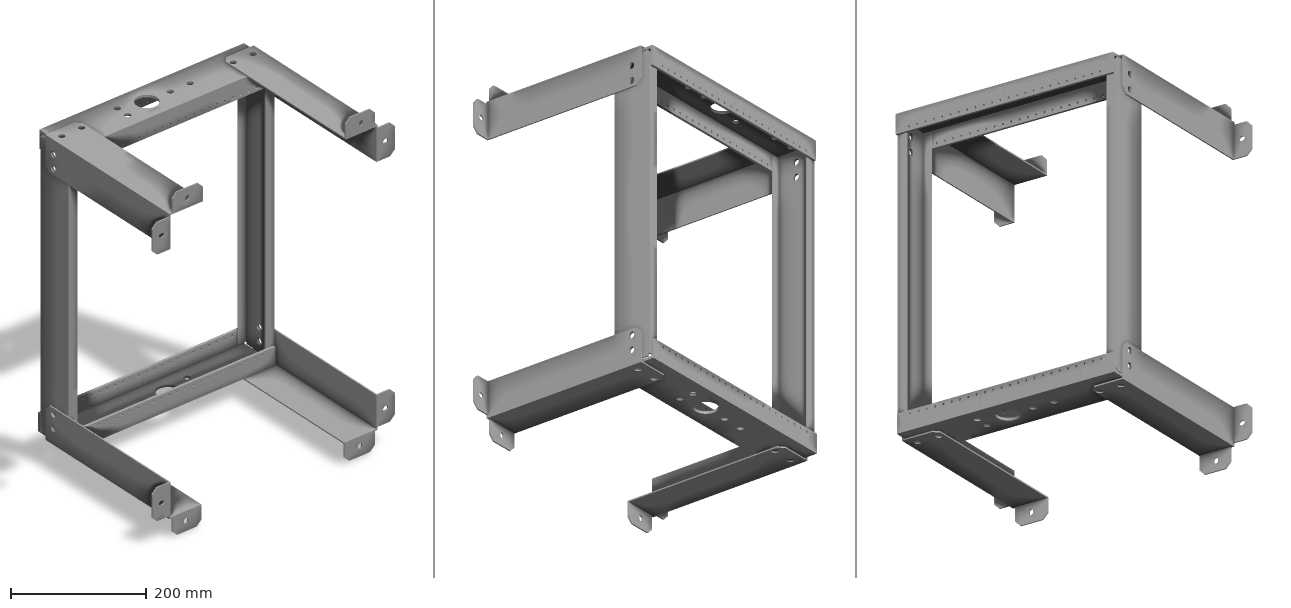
import cadquery as cq
TOTAL_X = 309.27
TOTAL_Y = 459.49
TOTAL_Z = 592.89

SHEET = 2.3
RAIL_WALL = 4.4

TAB_HEIGHT = 32.45
TAB_INSET = 5.45
TAB_CHAMFER = 8.95
TAB_SLOT_LENGTH = 9.5
TAB_SLOT_WIDTH = 7.5
TAB_SLOT_FROM_TIP = 17.3
TAB_SLOT_FROM_CORNER = 29.6
ARM_FRONT = 20.0
ARM_CHAMFER = 9.0
ARM_WIDTH_Y = 60.9
ARM_INNER_Z = 200.7
RAISED_STEP = SHEET
ARM_OUTER_Y = TOTAL_Y / 2 - TAB_HEIGHT
RAISED_OUTER_Z = TOTAL_Z / 2 - TAB_HEIGHT
SEATED_OUTER_Z = RAISED_OUTER_Z - RAISED_STEP

RAIL_DEPTH = 76.1
RAIL_FLANGE = 33.0
RAIL_END_INSET = SHEET
RAIL_TOP = SEATED_OUTER_Z - SHEET
RAIL_LONG_END = ARM_OUTER_Y - SHEET
RAIL_SHORT_END = RAIL_LONG_END - RAIL_END_INSET
RAIL_MIDDLE = (RAIL_LONG_END - RAIL_SHORT_END) / 2

POST_SIDE_GAP = 0.6
POST_FRONT = RAIL_WALL + POST_SIDE_GAP
POST_FLANGE = 16.8
POST_END_GAP = 1.0
POST_NOTCH = 3.5
POST_OUTER_Y = RAIL_LONG_END
POST_DEPTH = RAIL_DEPTH - 2 * POST_FRONT
POST_TOP = RAIL_TOP - RAIL_WALL - POST_END_GAP

BOLT_DIAMETER = 10.75
BOLT_X = RAIL_DEPTH / 2
BOLT_Y = (143.5, 181.0)
BOLT_Z = (211.2, 236.0)

CABLE_HOLE_DIAMETER = 37.8
CABLE_HOLE_Y = -20.0
SINGLE_HOLE_Y = (24.5, 62.0)
TWIN_HOLE_Y = -66.2
TWIN_HOLE_SPACING = 24.5

RACK_UNIT = 44.45
UNITS = 8
HOLES_PER_UNIT = 3
RACK_HOLE_DIAMETER = 4.2
RACK_HOLE_FROM_EDGE = 6.5
MARK_WIDTH = 0.8
MARK_LENGTH = 2.5
MARK_FROM_EDGE = (14.5, 23.0)


def block(x, y, z):
    """Box spanning the given (low, high) pairs."""
    size = (x[1] - x[0], y[1] - y[0], z[1] - z[0])
    return cq.Workplane("XY").box(*size, centered=False).translate((x[0], y[0], z[0]))


def drill_z(points, diameter, z_low, z_high):
    """Vertical cylinders at the (x, y) points."""
    plane = cq.Workplane("XY", origin=(0, 0, z_low))
    return plane.pushPoints(points).circle(diameter / 2).extrude(z_high - z_low)


def drill_y(points, diameter, y_low, y_high):
    """Cylinders along Y at the (x, z) points."""
    plane = cq.Workplane("XZ", origin=(0, y_low, 0))
    return plane.pushPoints(points).circle(diameter / 2).extrude(y_low - y_high)


def drill_x(points, diameter, x_low, x_high):
    """Cylinders along X at the (y, z) points."""
    plane = cq.Workplane("YZ", origin=(x_low, 0, 0))
    return plane.pushPoints(points).circle(diameter / 2).extrude(x_high - x_low)


def turned(body):
    """Copy of a body turned half a turn about the X axis."""
    return body.rotate((0, 0, 0), (1, 0, 0), 180)


def make_rail():
    """Top rail with bolt, cable and rack-unit holes."""
    y = (-RAIL_SHORT_END, RAIL_LONG_END)
    flange_bottom = RAIL_TOP - RAIL_FLANGE
    rail = block((0, RAIL_DEPTH), y, (flange_bottom, RAIL_TOP))
    inside = (RAIL_WALL, RAIL_DEPTH - RAIL_WALL)
    rail = rail.cut(block(inside, y, (flange_bottom, RAIL_TOP - RAIL_WALL)))

    web = (RAIL_TOP - RAIL_WALL, RAIL_TOP)
    center_line = [(BOLT_X, y) for y in SINGLE_HOLE_Y]
    center_line += [(BOLT_X, side * y) for side in (-1, 1) for y in BOLT_Y]
    twins = [(BOLT_X + side * TWIN_HOLE_SPACING / 2, TWIN_HOLE_Y) for side in (-1, 1)]
    rail = rail.cut(drill_z(center_line + twins, BOLT_DIAMETER, *web))
    rail = rail.cut(drill_z([(BOLT_X, CABLE_HOLE_Y)], CABLE_HOLE_DIAMETER, *web))

    hole_count = UNITS * HOLES_PER_UNIT
    pitch = RACK_UNIT / HOLES_PER_UNIT
    hole_z = flange_bottom + RACK_HOLE_FROM_EDGE
    holes = [(RAIL_MIDDLE + (i - (hole_count - 1) / 2) * pitch, hole_z) for i in range(hole_count)]
    rail = rail.cut(drill_x(holes, RACK_HOLE_DIAMETER, 0, RAIL_DEPTH))

    marks = [
        (RAIL_MIDDLE + (i - UNITS / 2) * RACK_UNIT, flange_bottom + height)
        for i in range(UNITS + 1)
        for height in MARK_FROM_EDGE
    ]
    slits = cq.Workplane("YZ").pushPoints(marks).rect(MARK_WIDTH, MARK_LENGTH).extrude(RAIL_WALL)
    return rail.cut(slits)


def make_post():
    """Post on the +Y side, notched at its ends to clear the rail bends."""
    x = (POST_FRONT, POST_FRONT + POST_DEPTH)
    z = (-POST_TOP, POST_TOP)
    inner_y = POST_OUTER_Y - POST_FLANGE
    post = block(x, (inner_y, POST_OUTER_Y), z)
    inside = (x[0] + SHEET, x[1] - SHEET)
    post = post.cut(block(inside, (inner_y, POST_OUTER_Y - SHEET), z))

    notches = (
        cq.Workplane("XZ", origin=(0, POST_OUTER_Y, 0))
        .pushPoints([(edge, end) for edge in x for end in z])
        .rect(2 * POST_NOTCH, 2 * POST_NOTCH)
        .extrude(POST_FLANGE)
    )
    bolts = [(BOLT_X, side * z) for side in (-1, 1) for z in BOLT_Z]
    return post.cut(notches).cut(drill_y(bolts, BOLT_DIAMETER, inner_y, POST_OUTER_Y))


def make_bracket(outer_z, arm_width_y):
    """Bracket for the +Y, +Z corner of the frame."""
    inner_y = ARM_OUTER_Y - arm_width_y
    arm_x = (ARM_FRONT, TOTAL_X)
    plate_z = (outer_z - SHEET, outer_z)
    plate_y = (ARM_OUTER_Y - SHEET, ARM_OUTER_Y)

    level = block(arm_x, (inner_y, ARM_OUTER_Y), plate_z)
    level = level.edges("|Z and <X and <Y").chamfer(ARM_CHAMFER)
    level = level.cut(drill_z([(BOLT_X, y) for y in BOLT_Y], BOLT_DIAMETER, *plate_z))

    upright = block(arm_x, plate_y, (ARM_INNER_Z, outer_z))
    upright = upright.edges("|Y and <X and <Z").chamfer(ARM_CHAMFER)
    upright = upright.cut(drill_y([(BOLT_X, z) for z in BOLT_Z], BOLT_DIAMETER, *plate_y))

    tab_x = (TOTAL_X - SHEET, TOTAL_X)
    tab_z = (plate_z[0], outer_z + TAB_HEIGHT)
    top_tab = block(tab_x, (inner_y, ARM_OUTER_Y - TAB_INSET), tab_z)
    top_tab = top_tab.edges("|X and >Z").chamfer(TAB_CHAMFER)
    tab_y = (plate_y[0], ARM_OUTER_Y + TAB_HEIGHT)
    side_tab = block(tab_x, tab_y, (ARM_INNER_Z, outer_z - TAB_INSET))
    side_tab = side_tab.edges("|X and >Y").chamfer(TAB_CHAMFER)

    slot_plane = cq.Workplane("YZ", origin=(tab_x[0], 0, 0))
    top_slot = (
        slot_plane.center(inner_y + TAB_SLOT_FROM_CORNER, outer_z + TAB_HEIGHT - TAB_SLOT_FROM_TIP)
        .slot2D(TAB_SLOT_LENGTH, TAB_SLOT_WIDTH, 90)
        .extrude(SHEET)
    )
    side_slot = (
        slot_plane.center(ARM_OUTER_Y + TAB_HEIGHT - TAB_SLOT_FROM_TIP, ARM_INNER_Z + TAB_SLOT_FROM_CORNER)
        .slot2D(TAB_SLOT_LENGTH, TAB_SLOT_WIDTH)
        .extrude(SHEET)
    )
    return level.union(upright).union(top_tab.cut(top_slot)).union(side_tab.cut(side_slot))


rail = make_rail()
post = make_post()
raised_bracket = make_bracket(RAISED_OUTER_Z, ARM_WIDTH_Y)
seated_bracket = make_bracket(SEATED_OUTER_Z, ARM_WIDTH_Y + RAISED_STEP).mirror("XZ")

bodies = []
for body in (rail, post, raised_bracket, seated_bracket):
    bodies += [body.val(), turned(body).val()]

result = cq.Compound.makeCompound(bodies)